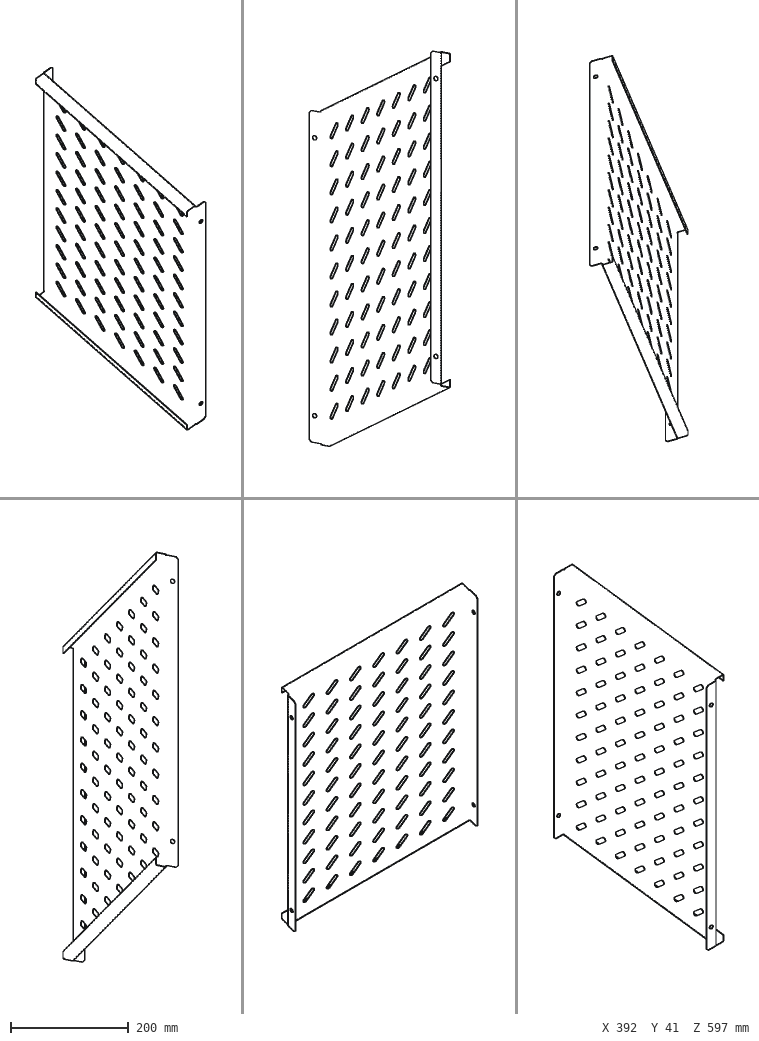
import cadquery as cq

width = 392.0
depth = 41.0
height = 597.0

sheet = 1.6
bend_outer = 2.85
bend_inner = bend_outer - sheet

side_flange_depth = 22.5
lip_height = 15.0
flange_corner_chamfer = 4.0

hole_diameter = 8.0
hole_spacing = 495.5
hole_from_back_edge = 11.0

slot_columns = 7
slot_rows = 11
slot_field_height = 500.0
slot_pitch = slot_field_height / (slot_rows - 1)
slot_length = 30.5
slot_width = 8.5
slot_angle = -45

back_y = depth / 2
front_y = -depth / 2
panel_front_y = back_y - side_flange_depth
panel_back_y = panel_front_y + sheet

flat_width = width - 2 * bend_outer
flat_height = height - 2 * bend_outer


def side_strip():
    """Panel with both side flanges folded back: a U in plan, with its rear corners cut."""
    outer_x = width / 2
    inner_x = outer_x - sheet
    strip = (
        cq.Workplane("XY", origin=(0, 0, -flat_height / 2))
        .moveTo(-outer_x, back_y)
        .lineTo(-outer_x, panel_front_y)
        .lineTo(outer_x, panel_front_y)
        .lineTo(outer_x, back_y)
        .lineTo(inner_x, back_y)
        .lineTo(inner_x, panel_back_y)
        .lineTo(-inner_x, panel_back_y)
        .lineTo(-inner_x, back_y)
        .close()
        .extrude(flat_height)
    )
    strip = strip.faces("<Y").edges("|Z").fillet(bend_outer)
    inner_corners = cq.selectors.BoxSelector(
        (-width, panel_back_y - sheet / 2, -height), (width, panel_back_y + sheet / 2, height)
    )
    strip = strip.edges("|Z").edges(inner_corners).fillet(bend_inner)
    return strip.faces(">Y").edges("|X").chamfer(flange_corner_chamfer)


def end_strip():
    """Panel with both end flanges folded forward, each turned inward again into a lip."""
    outer_z = height / 2
    inner_z = outer_z - sheet
    lip_end_z = outer_z - lip_height
    lip_back_y = front_y + sheet

    outer_box = (
        cq.Workplane("XY")
        .box(flat_width, panel_back_y - front_y, height)
        .edges("|X")
        .fillet(bend_outer)
    )
    inner_box = (
        cq.Workplane("XY")
        .box(flat_width, panel_front_y - lip_back_y, 2 * inner_z)
        .edges("|X")
        .fillet(bend_inner)
    )
    middle_y = (panel_back_y + front_y) / 2
    lip_middle_y = front_y + sheet / 2
    lip_gap = cq.Workplane("XY").box(flat_width, sheet, 2 * lip_end_z).translate((0, lip_middle_y, 0))
    return outer_box.cut(inner_box).translate((0, middle_y, 0)).cut(lip_gap)


def side_holes():
    """Round mounting holes through both side flanges."""
    return (
        cq.Workplane("YZ", origin=(-width / 2, back_y - hole_from_back_edge, 0))
        .rarray(6, hole_spacing, 1, 2)
        .circle(hole_diameter / 2)
        .extrude(width)
    )


def diagonal_slots():
    """Grid of slots through the panel, each falling toward +X."""
    return (
        cq.Workplane("XZ", origin=(0, panel_back_y, 0))
        .rarray(slot_pitch, slot_pitch, slot_columns, slot_rows)
        .slot2D(slot_length, slot_width, slot_angle)
        .extrude(sheet)
    )


result = side_strip().union(end_strip()).cut(side_holes()).cut(diagonal_slots())